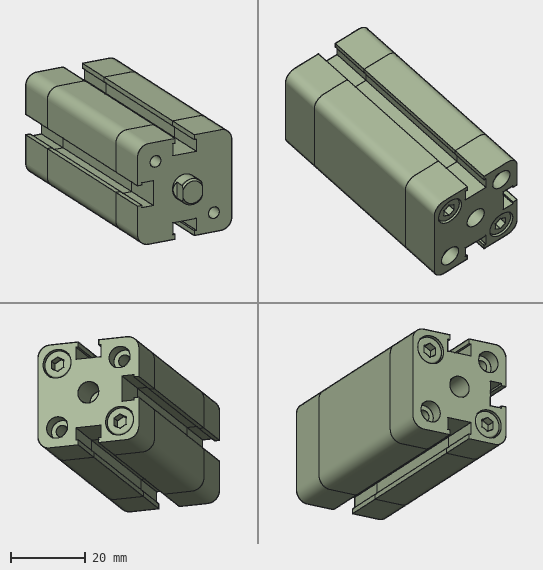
import cadquery as cq
import math

side = 29.0
corner_radius = 3.45
cap_length = 12.2
tube_length = 38.5
housing_length = 2 * cap_length + tube_length

slot_mouth_width = 5.9
slot_inner_width = 7.15
slot_lip = 1.4
slot_depth = 4.85

corner_offset = 9.0
thread_diameter = 6.0
mounting_thread_depth = 3.8
centre_thread_depth = 9.45
through_diameter = 3.3

recess_diameter = 8.0
recess_depth = 4.05
head_diameter = 7.6
head_sink = 0.4
head_fillet = 0.5
socket_flats = 3.5
socket_depth = 2.7

total_length = 67.5
rod_diameter = 7.5
rod_length = total_length - housing_length
rod_chamfer = 0.55
rod_flats = 5.95
flats_start = 0.35

mounting_places = [(-corner_offset, corner_offset), (corner_offset, -corner_offset)]
screw_places = [(corner_offset, corner_offset), (-corner_offset, -corner_offset)]


def section_plane(x):
    """Plane across the housing at x, with local axes along Y and Z."""
    return cq.Workplane("YZ", origin=(x, 0, 0))


def cylinders(x, length, diameter, places):
    """Equal cylinders along +X, starting at x, one at each (Y, Z) place."""
    return section_plane(x).pushPoints(places).circle(diameter / 2).extrude(length)


def slot_cutter(x, length):
    """T-slot cutter for the +Z side."""
    top = side / 2
    mouth = (
        section_plane(x)
        .center(0, top - slot_depth / 2)
        .rect(slot_mouth_width, slot_depth)
        .extrude(length)
    )
    inner_height = slot_depth - slot_lip
    inner = (
        section_plane(x)
        .center(0, top - slot_lip - inner_height / 2)
        .rect(slot_inner_width, inner_height)
        .extrude(length)
    )
    return mouth.union(inner)


def housing_section(x, length):
    """Slotted square length with the two through holes for mounting."""
    body = section_plane(x).rect(side, side).extrude(length).edges("|X").fillet(corner_radius)
    for angle in (0, 90, 180):
        body = body.cut(slot_cutter(x, length).rotate((0, 0, 0), (1, 0, 0), angle))
    return body.cut(cylinders(x, length, through_diameter, mounting_places))


def screw_head():
    """Rounded socket head on the X axis, with two hexagon corners pointing along Z."""
    head = cylinders(head_sink, recess_depth - head_sink, head_diameter, [(0, 0)])
    head = head.faces("<X").edges().fillet(head_fillet)
    socket_corners = socket_flats / math.cos(math.radians(30))
    socket = section_plane(head_sink).polygon(6, socket_corners).extrude(socket_depth)
    return head.cut(socket.rotate((0, 0, 0), (1, 0, 0), 90))


def make_rear_cap():
    """End cap with the threaded mounting holes, a centre hole and two screw heads."""
    cap = housing_section(0, cap_length)
    cap = cap.cut(cylinders(0, mounting_thread_depth, thread_diameter, mounting_places))
    cap = cap.cut(cylinders(0, centre_thread_depth, thread_diameter, [(0, 0)]))
    cap = cap.cut(cylinders(0, recess_depth, recess_diameter, screw_places))
    for y, z in screw_places:
        cap = cap.union(screw_head().translate((0, y, z)))
    return cap


def make_rod():
    """Rod end standing on the front cap, with two wrench flats facing -Y and +Y."""
    rod = section_plane(housing_length).circle(rod_diameter / 2).extrude(rod_length)
    rod = rod.faces(">X").edges().chamfer(rod_chamfer)
    flat_depth = (rod_diameter - rod_flats) / 2
    start = housing_length + flats_start
    flat = (
        cq.Workplane("XY")
        .polyline(
            [
                (start, rod_diameter / 2),
                (start + flat_depth, rod_flats / 2),
                (total_length, rod_flats / 2),
                (total_length, rod_diameter / 2),
            ]
        )
        .close()
        .extrude(rod_diameter / 2, both=True)
    )
    return rod.cut(flat).cut(flat.mirror("XZ"))


rear_cap = make_rear_cap()
tube = housing_section(cap_length, tube_length)
front_cap = housing_section(cap_length + tube_length, cap_length)
rod = make_rod()

result = cq.Compound.makeCompound([rear_cap.val(), tube.val(), front_cap.val(), rod.val()])